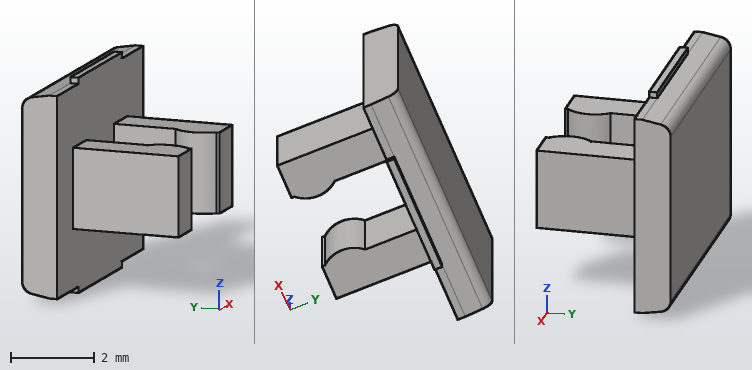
import cadquery as cq
import math

plate_width = 5.9
plate_height = 5.0
plate_thickness = 0.9
rim_thickness = 0.2
draft_angle = 10.0
edge_radius = 0.3

tab_width = 3.0
overall_height = 5.3

leg_length = 2.7
leg_thickness = 0.9
leg_height = 2.0
leg_gap = 1.9

catch_projection = 0.2
catch_chord = 1.05
catch_end_distance = 0.6


def make_plate():
    """Plate with tapered, rounded top and bottom edges."""
    half_height = plate_height / 2
    taper_drop = (plate_thickness - rim_thickness) * math.tan(math.radians(draft_angle))
    front_half_height = half_height - taper_drop
    profile = [
        (0, -half_height),
        (rim_thickness, -half_height),
        (plate_thickness, -front_half_height),
        (plate_thickness, front_half_height),
        (rim_thickness, half_height),
        (0, half_height),
    ]
    plate = cq.Workplane("YZ").polyline(profile).close().extrude(plate_width / 2, both=True)
    return plate.faces(">Y").edges("|X").fillet(edge_radius)


def make_tabs():
    """Bar across the rim whose two ends form the top and bottom tabs."""
    return cq.Workplane("XY").box(
        tab_width, rim_thickness, overall_height, centered=(True, False, True)
    )


def make_right_leg():
    """Leg on the +X side, with its catch facing the centre of the part."""
    inner_x = leg_gap / 2
    outer_x = inner_x + leg_thickness
    catch_y = catch_end_distance - leg_length
    outline = (
        cq.Workplane("XY")
        .moveTo(inner_x, 0)
        .lineTo(outer_x, 0)
        .lineTo(outer_x, -leg_length)
        .lineTo(inner_x, -leg_length)
        .lineTo(inner_x, catch_y - catch_chord / 2)
        .threePointArc(
            (inner_x - catch_projection, catch_y),
            (inner_x, catch_y + catch_chord / 2),
        )
        .close()
    )
    return outline.extrude(leg_height / 2, both=True)


right_leg = make_right_leg()
left_leg = right_leg.mirror("YZ")

result = make_plate().union(make_tabs()).union(right_leg).union(left_leg)